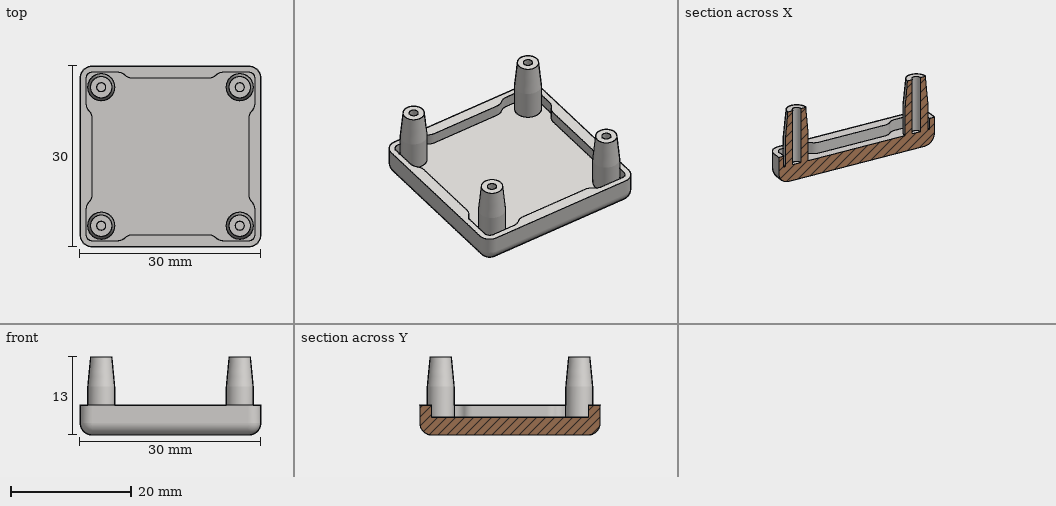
import cadquery as cq

tray_side = 30.0
tray_height = 5.0
tray_corner_radius = 2.0
floor_thickness = 3.0

thin_wall = 1.0
thick_wall = 2.0
pocket_corner_radius = 1.0
step_start = 6.2
step_length = 2.5

post_spacing = 23.0
post_diameter = 4.5
post_tip_diameter = 3.55
taper_base_z = 8.0
post_top_z = 13.0
post_hole_diameter = 1.5
post_hole_depth = post_top_z - floor_thickness


def make_tray_body():
    """Square block with rounded vertical corners and a rounded bottom edge."""
    straight = (
        cq.Workplane("XY")
        .box(tray_side, tray_side, tray_height, centered=(True, True, False))
        .edges("|Z")
        .fillet(tray_corner_radius)
    )
    return straight.faces("<Z").edges().fillet(tray_corner_radius)


def make_pocket_slice(angle):
    """Triangular quarter of the pocket, from the tray centre out to one wall."""
    half = tray_side / 2
    outer_y = half - thin_wall
    inner_y = half - thick_wall
    middle_y = (outer_y + inner_y) / 2
    outer_x = half - step_start
    inner_x = outer_x - step_length
    middle_x = (outer_x + inner_x) / 2
    corner_x = half - thin_wall

    return (
        cq.Workplane("XY", origin=(0, 0, floor_thickness))
        .moveTo(0, 0)
        .lineTo(corner_x, outer_y)
        .lineTo(outer_x, outer_y)
        .tangentArcPoint((middle_x, middle_y), relative=False)
        .tangentArcPoint((inner_x, inner_y), relative=False)
        .lineTo(-inner_x, inner_y)
        .tangentArcPoint((-middle_x, middle_y), relative=False)
        .tangentArcPoint((-outer_x, outer_y), relative=False)
        .lineTo(-corner_x, outer_y)
        .close()
        .extrude(tray_height - floor_thickness)
        .rotate((0, 0, 0), (0, 0, 1), angle)
    )


def make_pocket():
    """Four matching quarters joined and trimmed to rounded outer corners."""
    pocket_side = tray_side - 2 * thin_wall
    envelope = (
        cq.Workplane("XY", origin=(0, 0, floor_thickness))
        .rect(pocket_side, pocket_side)
        .extrude(tray_height - floor_thickness)
        .edges("|Z")
        .fillet(pocket_corner_radius)
    )
    slices = make_pocket_slice(0)
    for angle in (90, 180, 270):
        slices = slices.union(make_pocket_slice(angle))
    return envelope.intersect(slices)


def make_post():
    """Round post with a tapered upper part and a blind hole from the top."""
    profile = (
        cq.Workplane("XZ")
        .moveTo(0, floor_thickness)
        .lineTo(post_diameter / 2, floor_thickness)
        .lineTo(post_diameter / 2, taper_base_z)
        .lineTo(post_tip_diameter / 2, post_top_z)
        .lineTo(0, post_top_z)
        .close()
    )
    solid_post = profile.revolve(360, (0, 0, 0), (0, 1, 0))
    return solid_post.faces(">Z").workplane().hole(post_hole_diameter, post_hole_depth)


result = make_tray_body().cut(make_pocket())
post = make_post()
for x_side in (-1, 1):
    for y_side in (-1, 1):
        offset = (x_side * post_spacing / 2, y_side * post_spacing / 2, 0)
        result = result.union(post.translate(offset))